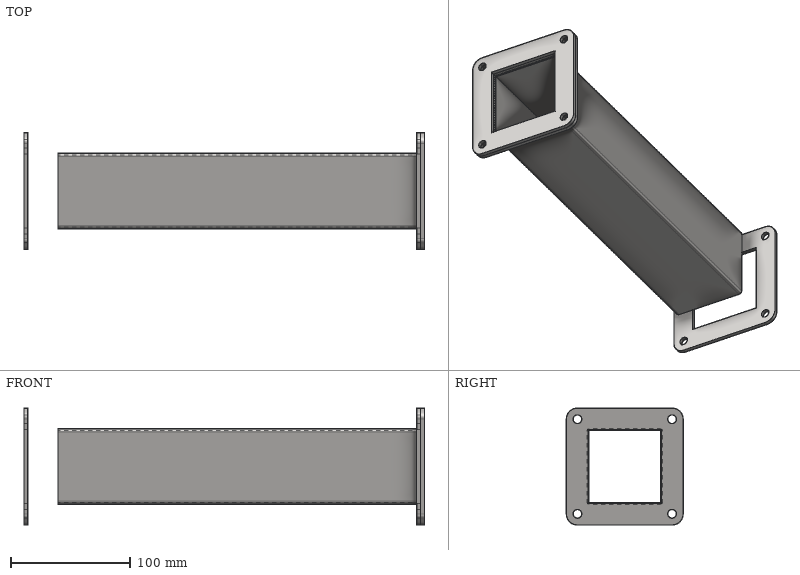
import cadquery as cq

TOTAL_LENGTH = 336.5

PLATE_SIDE = 98.3
PLATE_THICKNESS = 3.5
PLATE_CORNER_RADIUS = 9.5
PLATE_OPENING = 62.0
BOLT_HOLE_DIAMETER = 7.0
BOLT_SPACING = PLATE_SIDE - 2 * PLATE_CORNER_RADIUS

TUBE_SIDE = 63.5
TUBE_WALL = 1.7
TUBE_CORNER_RADIUS = 2.7
TUBE_START = 28.5

LOOSE_PLATE_X = 0.0
END_PLATE_X = TOTAL_LENGTH - PLATE_THICKNESS
INNER_PLATE_X = END_PLATE_X - PLATE_THICKNESS
PLATE_POSITIONS = [LOOSE_PLATE_X, INNER_PLATE_X, END_PLATE_X]


def make_plate(x):
    """Rounded square plate with a square window and four corner bolt holes."""
    blank = (
        cq.Workplane("YZ", origin=(x, 0, 0))
        .rect(PLATE_SIDE, PLATE_SIDE)
        .extrude(PLATE_THICKNESS)
        .edges("|X")
        .fillet(PLATE_CORNER_RADIUS)
    )
    window = (
        cq.Workplane("YZ", origin=(x, 0, 0))
        .rect(PLATE_OPENING, PLATE_OPENING)
        .extrude(PLATE_THICKNESS)
    )
    bolt_holes = (
        cq.Workplane("YZ", origin=(x, 0, 0))
        .rect(BOLT_SPACING, BOLT_SPACING, forConstruction=True)
        .vertices()
        .circle(BOLT_HOLE_DIAMETER / 2)
        .extrude(PLATE_THICKNESS)
    )
    return blank.cut(window).cut(bolt_holes)


def make_tube():
    """Square tube with rounded outer corners, butting against the inner plate."""
    length = INNER_PLATE_X - TUBE_START
    bore_side = TUBE_SIDE - 2 * TUBE_WALL
    outside = (
        cq.Workplane("YZ", origin=(TUBE_START, 0, 0))
        .rect(TUBE_SIDE, TUBE_SIDE)
        .extrude(length)
        .edges("|X")
        .fillet(TUBE_CORNER_RADIUS)
    )
    bore = (
        cq.Workplane("YZ", origin=(TUBE_START, 0, 0))
        .rect(bore_side, bore_side)
        .extrude(length)
    )
    return outside.cut(bore)


tube = make_tube()
plates = [make_plate(x) for x in PLATE_POSITIONS]

result = cq.Compound.makeCompound([tube.val(), *[plate.val() for plate in plates]])